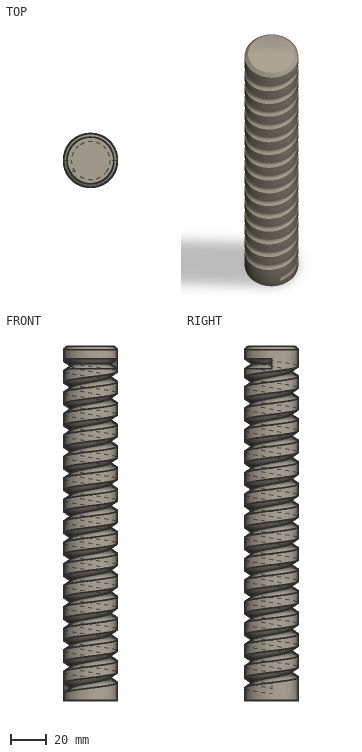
import cadquery as cq

length = 198.0
radius = 15.0
top_chamfer = 2.0

groove_depth = 4.4
groove_width = 5.7
pitch = 12.0
start_height = 7.0
runout_height = 188.1
start_angle = 180.0
end_angle = 360.0
cutter_overshoot = 1.0

turns = (runout_height - start_height) / pitch
runout_overlap = 5.0
runout_angle = start_angle + 360.0 * (turns % 1) - runout_overlap


def groove_profile(height):
    """V profile in the XZ plane on the +X side, centred at the given height."""
    root = radius - groove_depth
    mouth = radius + cutter_overshoot
    half_mouth = groove_width / 2 * (mouth - root) / groove_depth
    return (
        cq.Workplane("XZ")
        .moveTo(root, height)
        .lineTo(mouth, height + half_mouth)
        .lineTo(mouth, height - half_mouth)
        .close()
    )


def helical_groove():
    path = cq.Wire.makeHelix(pitch, pitch * turns, radius).translate(cq.Vector(0, 0, start_height))
    cutter = groove_profile(start_height).sweep(cq.Workplane(obj=path), isFrenet=True)
    return cutter.rotate((0, 0, 0), (0, 0, 1), start_angle)


def level_runout():
    cutter = groove_profile(runout_height).revolve(end_angle - runout_angle, (0, 0, 0), (0, 1, 0))
    return cutter.rotate((0, 0, 0), (0, 0, 1), runout_angle)


rod = cq.Workplane("XY").circle(radius).extrude(length).faces(">Z").chamfer(top_chamfer)
result = rod.cut(helical_groove()).cut(level_runout())